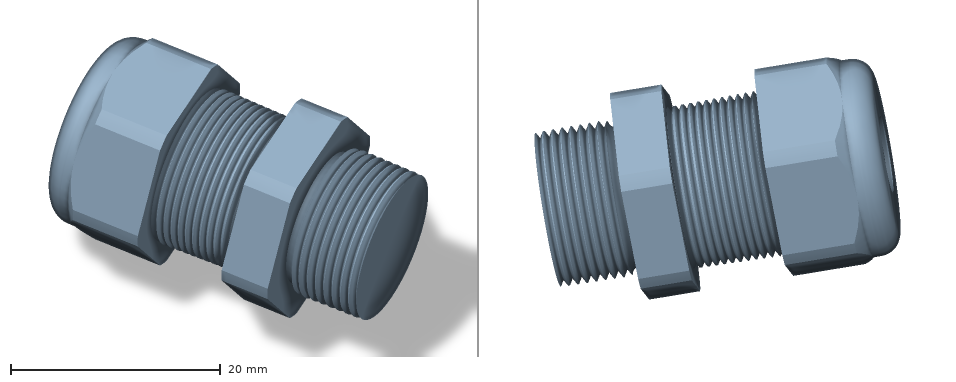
import cadquery as cq
import math

TOTAL_LENGTH = 32.77

ACROSS_FLATS = 19.05
CORNER_DIAMETER = 21.15

CAP_LENGTH = 10.9
DOME_RADIUS = ACROSS_FLATS / 2
DOME_FILLET = 2.03
DOME_LENGTH = 2.82
CORNER_BEVEL_LENGTH = 1.1

STEM_RADIUS = 3.95
STEM_RECESS_RADIUS = 3.7
STEM_RECESS_DEPTH = 0.5

HEX_START = 19.92
HEX_END = 24.87

FLANK_ANGLE = 60.0

CLAMP_CREST_START = 8.0
CLAMP_CREST_END = 7.8
CLAMP_ROOT_RADIUS = 7.35
CLAMP_GROOVES = 12
CLAMP_END_MARGIN = 0.3
CLAMP_FIRST_ROOT = CAP_LENGTH + CLAMP_END_MARGIN
CLAMP_PITCH = (HEX_START - CAP_LENGTH - 2 * CLAMP_END_MARGIN) / (CLAMP_GROOVES - 1)

MOUNT_CREST_START = 7.57
MOUNT_CREST_END = 7.47
MOUNT_ROOT_RADIUS = 6.8
MOUNT_GROOVES = 8
MOUNT_PITCH = 0.9
MOUNT_FIRST_ROOT = 26.2
NECK_RADIUS = 6.75
NECK_LENGTH = 0.15
NECK_FILLET = MOUNT_CREST_START - NECK_RADIUS


def turned(profile):
    """Revolve an XY outline about the X axis."""
    return profile.close().revolve(360, (0, 0, 0), (1, 0, 0))


def rod(start, end, radius):
    return cq.Workplane("YZ").workplane(offset=start).circle(radius).extrude(end - start)


def hexagon(start, end):
    """Hexagonal prism with flats facing +Z and -Z and turned corners."""
    full_corner_diameter = ACROSS_FLATS / math.cos(math.pi / 6)
    prism = (
        cq.Workplane("YZ").workplane(offset=start)
        .polygon(6, full_corner_diameter)
        .extrude(end - start)
    )
    return prism.intersect(rod(start, end, CORNER_DIAMETER / 2))


def cut_thread_grooves(shank, first_root, pitch, count, root_radius):
    """Cut evenly spaced ring-shaped V grooves, one pitch wide at the crests."""
    half_width = pitch / 2
    depth = half_width / math.tan(math.radians(FLANK_ANGLE / 2))
    for i in range(count):
        root = first_root + i * pitch
        groove = turned(
            cq.Workplane("XY")
            .moveTo(root, root_radius)
            .lineTo(root + half_width, root_radius + depth)
            .lineTo(root - half_width, root_radius + depth)
        )
        shank = shank.cut(groove)
    return shank


def make_cap_nut():
    bevel_start = DOME_LENGTH
    bevel_end = DOME_LENGTH + CORNER_BEVEL_LENGTH
    envelope = turned(
        cq.Workplane("XY")
        .moveTo(0, 0)
        .lineTo(0, DOME_RADIUS - DOME_FILLET)
        .radiusArc((DOME_FILLET, DOME_RADIUS), DOME_FILLET)
        .lineTo(bevel_start, DOME_RADIUS)
        .lineTo(bevel_end, CORNER_DIAMETER / 2)
        .lineTo(CAP_LENGTH, CORNER_DIAMETER / 2)
        .lineTo(CAP_LENGTH, 0)
    )
    nut = envelope.intersect(hexagon(0, CAP_LENGTH))
    return nut.cut(rod(0, CAP_LENGTH, STEM_RADIUS))


def make_clamp_thread():
    shank = turned(
        cq.Workplane("XY")
        .moveTo(CAP_LENGTH, 0)
        .lineTo(CAP_LENGTH, CLAMP_CREST_START)
        .lineTo(HEX_START, CLAMP_CREST_END)
        .lineTo(HEX_START, 0)
    )
    return cut_thread_grooves(shank, CLAMP_FIRST_ROOT, CLAMP_PITCH, CLAMP_GROOVES, CLAMP_ROOT_RADIUS)


def make_mount_thread():
    """Mounting thread with a filleted relief neck next to the hexagon."""
    fillet_start = HEX_END + NECK_LENGTH
    shank = turned(
        cq.Workplane("XY")
        .moveTo(HEX_END, 0)
        .lineTo(HEX_END, NECK_RADIUS)
        .lineTo(fillet_start, NECK_RADIUS)
        .radiusArc((fillet_start + NECK_FILLET, MOUNT_CREST_START), -NECK_FILLET)
        .lineTo(TOTAL_LENGTH, MOUNT_CREST_END)
        .lineTo(TOTAL_LENGTH, 0)
    )
    return cut_thread_grooves(shank, MOUNT_FIRST_ROOT, MOUNT_PITCH, MOUNT_GROOVES, MOUNT_ROOT_RADIUS)


def make_gland_body():
    stem = rod(0, CAP_LENGTH, STEM_RADIUS).cut(rod(0, STEM_RECESS_DEPTH, STEM_RECESS_RADIUS))
    return (
        stem
        .union(make_clamp_thread())
        .union(hexagon(HEX_START, HEX_END))
        .union(make_mount_thread())
    )


cap_nut = make_cap_nut()
gland_body = make_gland_body()

result = cq.Compound.makeCompound([cap_nut.solids().val(), gland_body.solids().val()])